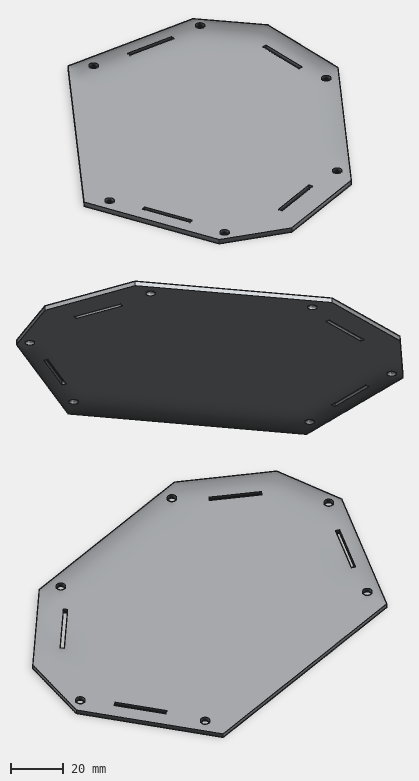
import cadquery as cq
import math

thickness = 2.0
axis_angle = 30.0

long_edge_corner = (0.0, 45.68)
flank_corner = (49.2, 74.1)
shoulder_corner = (77.1, 68.1)
short_edge_corner = (101.7, 37.75)
half_outline = [long_edge_corner, flank_corner, shoulder_corner, short_edge_corner]

hole_diameter = 3.6
flank_hole_inner = (9.65, 45.25)
flank_hole_outer = (51.55, 69.35)
short_edge_hole = (96.75, 31.0)
half_holes = [flank_hole_inner, flank_hole_outer, short_edge_hole]

slot_length = 20.0
slot_width = 1.6
left_flank_slot_center = (32.1, 56.9)
right_flank_slot_center = (30.8, -56.15)
left_shoulder_slot_center = (81.2, 46.3)
right_shoulder_slot_center = (79.85, -48.1)


def mirrored(point):
    """Matching point on the other side of the symmetry axis."""
    along, across = point
    return (along, -across)


def edge_angle(start, end):
    """Direction of an outline edge in degrees from the symmetry axis."""
    return math.degrees(math.atan2(end[1] - start[1], end[0] - start[0]))


def make_plate():
    other_half = [mirrored(corner) for corner in reversed(half_outline)]
    return cq.Workplane("XY").polyline(half_outline + other_half).close().extrude(thickness)


def make_holes():
    centers = half_holes + [mirrored(center) for center in half_holes]
    return cq.Workplane("XY").pushPoints(centers).circle(hole_diameter / 2).extrude(thickness)


def make_slot(center, angle):
    slot = cq.Workplane("XY").rect(slot_length, slot_width).extrude(thickness)
    slot = slot.rotate((0, 0, 0), (0, 0, 1), angle)
    return slot.translate((center[0], center[1], 0))


def make_slots():
    flank_angle = edge_angle(long_edge_corner, flank_corner)
    shoulder_angle = edge_angle(shoulder_corner, short_edge_corner)
    slots = make_slot(left_flank_slot_center, flank_angle)
    slots = slots.add(make_slot(right_flank_slot_center, -flank_angle))
    slots = slots.add(make_slot(left_shoulder_slot_center, shoulder_angle))
    return slots.add(make_slot(right_shoulder_slot_center, -shoulder_angle))


plate = make_plate().cut(make_holes()).cut(make_slots().combine())

result = plate.rotate((0, 0, 0), (0, 0, 1), axis_angle)